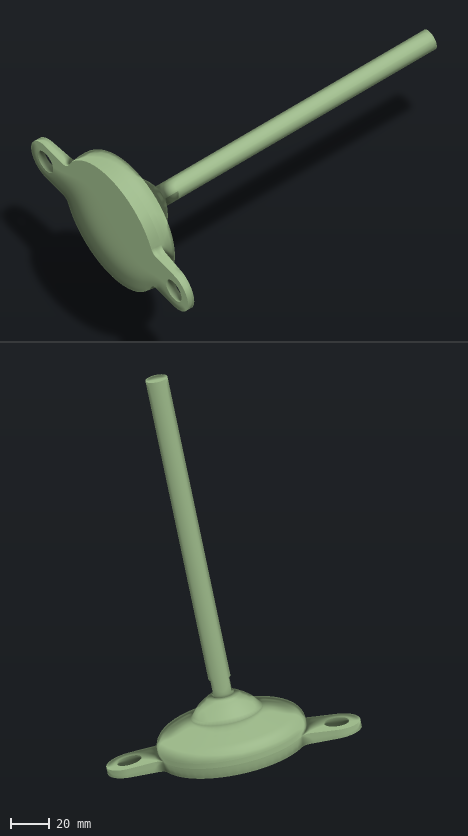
import cadquery as cq
import math

TOTAL_LENGTH = 211.5
OVERALL_WIDTH = 136.0
SOLE_Y = -TOTAL_LENGTH / 2
SHAFT_END_Y = SOLE_Y + TOTAL_LENGTH

FOOT_RADIUS = 40.0
SOLE_RADIUS = 39.1
RIM_HEIGHT = 6.0
SHOULDER_START = 8.9
SHOULDER_RADIUS = 7.6
CONE_ANGLE = math.radians(20)
CONE_TOP_RADIUS = 19.2
DOME_BASE_RADIUS = 18.0
DOME_BASE_HEIGHT = 23.0
DOME_TOP_RADIUS = 10.4
DOME_TOP_HEIGHT = 30.2
DOME_SPHERE_RADIUS = 20.7
NECK_RADIUS = 8.9
NECK_HEIGHT = 31.3
FOOT_HEIGHT = 32.0

EAR_RADIUS = 12.5
EAR_CENTER_X = OVERALL_WIDTH / 2 - EAR_RADIUS
EAR_HOLE_DIAMETER = 13.3
EAR_TIP_THICKNESS = 4.0
EAR_FILLET = 5.0
EAR_SLOPE_START_X = 41.0

SHAFT_RADIUS = 6.0
FLAT_DISTANCE = 4.9
FLAT_START = 33.2
FLAT_LENGTH = 8.2


def disc_stack(profile):
    """Revolve a closed radius-height profile about the Y axis."""
    return profile.close().revolve(360, (0, 0, 0), (0, 1, 0))


def make_flange():
    """Tapered rim with two ears, joined by fillets."""
    rim = disc_stack(
        cq.Workplane("XY")
        .lineTo(SOLE_RADIUS, 0)
        .lineTo(FOOT_RADIUS, RIM_HEIGHT)
        .lineTo(0, RIM_HEIGHT)
    )
    ears = (
        cq.Workplane("XZ")
        .slot2D(OVERALL_WIDTH, 2 * EAR_RADIUS)
        .extrude(-RIM_HEIGHT)
    )
    corner_x = math.sqrt(FOOT_RADIUS**2 - EAR_RADIUS**2)
    flange = rim.union(ears)
    for x in (-corner_x, corner_x):
        for z in (-EAR_RADIUS, EAR_RADIUS):
            flange = flange.edges(cq.NearestToPointSelector((x, RIM_HEIGHT / 2, z))).fillet(EAR_FILLET)

    half_width = OVERALL_WIDTH / 2
    side_outline = [
        (-half_width, 0),
        (half_width, 0),
        (half_width, EAR_TIP_THICKNESS),
        (EAR_SLOPE_START_X, RIM_HEIGHT),
        (-EAR_SLOPE_START_X, RIM_HEIGHT),
        (-half_width, EAR_TIP_THICKNESS),
    ]
    envelope = cq.Workplane("XY").polyline(side_outline).close().extrude(FOOT_RADIUS, both=True)
    return flange.intersect(envelope)


def make_crown():
    """Straight band, rounded shoulder, cone, dome and neck above the rim."""
    shoulder_center_x = FOOT_RADIUS - SHOULDER_RADIUS

    def shoulder_point(angle):
        return (
            shoulder_center_x + SHOULDER_RADIUS * math.cos(angle),
            SHOULDER_START + SHOULDER_RADIUS * math.sin(angle),
        )

    sweep = math.pi / 2 - CONE_ANGLE
    cone_base_radius, cone_base_height = shoulder_point(sweep)
    cone_top_height = cone_base_height + (cone_base_radius - CONE_TOP_RADIUS) * math.tan(CONE_ANGLE)
    return disc_stack(
        cq.Workplane("XY")
        .moveTo(0, RIM_HEIGHT)
        .lineTo(FOOT_RADIUS, RIM_HEIGHT)
        .lineTo(FOOT_RADIUS, SHOULDER_START)
        .threePointArc(shoulder_point(sweep / 2), (cone_base_radius, cone_base_height))
        .lineTo(CONE_TOP_RADIUS, cone_top_height)
        .lineTo(DOME_BASE_RADIUS, DOME_BASE_HEIGHT)
        .radiusArc((DOME_TOP_RADIUS, DOME_TOP_HEIGHT), -DOME_SPHERE_RADIUS)
        .lineTo(NECK_RADIUS, NECK_HEIGHT)
        .lineTo(SHAFT_RADIUS, FOOT_HEIGHT)
        .lineTo(0, FOOT_HEIGHT)
    )


def make_foot():
    holes = (
        cq.Workplane("XZ")
        .pushPoints([(-EAR_CENTER_X, 0), (EAR_CENTER_X, 0)])
        .circle(EAR_HOLE_DIAMETER / 2)
        .extrude(-RIM_HEIGHT)
    )
    foot = make_flange().union(make_crown()).cut(holes)
    return foot.translate((0, SOLE_Y, 0))


def make_shaft():
    """Round shaft standing on the foot, with a pair of wrench flats."""
    base_y = SOLE_Y + FOOT_HEIGHT
    shaft = (
        cq.Workplane("XZ", origin=(0, base_y, 0))
        .circle(SHAFT_RADIUS)
        .extrude(-(SHAFT_END_Y - base_y))
    )
    flat_center_y = SOLE_Y + FLAT_START + FLAT_LENGTH / 2
    for side in (-1, 1):
        flat_cutter = cq.Workplane("XY").box(SHAFT_RADIUS, FLAT_LENGTH, 2 * SHAFT_RADIUS)
        cutter_x = side * (FLAT_DISTANCE + SHAFT_RADIUS / 2)
        shaft = shaft.cut(flat_cutter.translate((cutter_x, flat_center_y, 0)))
    return shaft


foot = make_foot()
shaft = make_shaft()
result = cq.Compound.makeCompound([foot.solids().val(), shaft.solids().val()])